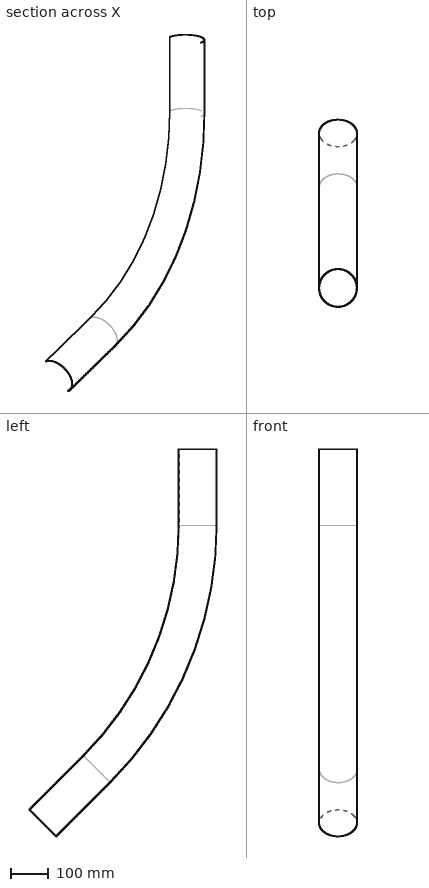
import cadquery as cq
import math

outer_diameter = 102.0
inner_diameter = 99.0
straight_length = 203.0
bend_radius = 915.0
bend_angle = 45.0

bend_sine = math.sin(math.radians(bend_angle))
bend_cosine = math.cos(math.radians(bend_angle))
half_sine = math.sin(math.radians(bend_angle / 2))
half_cosine = math.cos(math.radians(bend_angle / 2))

bend_middle = (bend_radius * (1 - half_cosine), -bend_radius * half_sine)
bend_end = (bend_radius * (1 - bend_cosine), -bend_radius * bend_sine)
lower_end = (
    bend_end[0] + straight_length * bend_sine,
    bend_end[1] - straight_length * bend_cosine,
)

centreline = (
    cq.Workplane("YZ")
    .moveTo(0, straight_length)
    .lineTo(0, 0)
    .threePointArc(bend_middle, bend_end)
    .lineTo(*lower_end)
)

wall_section = (
    cq.Workplane("XY", origin=(0, 0, straight_length))
    .circle(outer_diameter / 2)
    .circle(inner_diameter / 2)
)
result = wall_section.sweep(centreline)